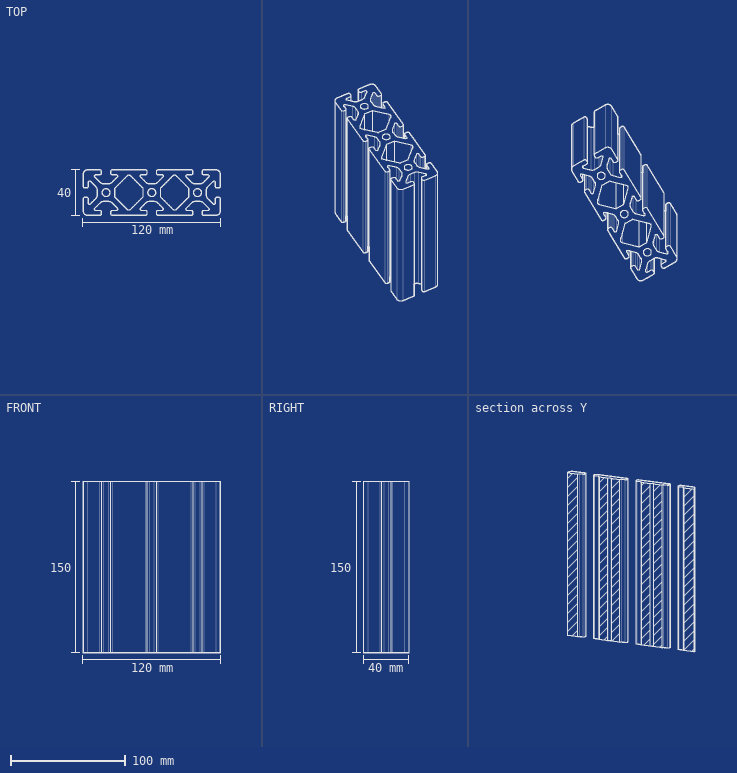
import cadquery as cq

cell_count = 3
length = 150.0
width = 120.0
cell = width / cell_count
half_cell = cell / 2
row_end = (width - cell) / 2
corner_radius = 3.9

lip_thickness = 4.5
core_half_width = 7.8
web_offset = 3.9

slot_half_opening = 4.0
lip_radius = 1.5
slot_floor_radius = 4.2
slot_corner_radius = 1.0

bore_diameter = 6.8
chamber_apex_radius = 2.1

cell_centres = [i * cell - row_end for i in range(cell_count)]
chamber_centres = [x + half_cell for x in cell_centres[:-1]]


def fillet_upright_edges(solid, points, radius):
    """Round the edges along Z that stand on the given XY points."""
    edges = []
    for x, y in points:
        nearest = cq.selectors.NearestToPointSelector((x, y, length / 2))
        edges.append(solid.edges("|Z").edges(nearest).val())
    return solid.newObject(edges).fillet(radius)


def prism(points):
    """Full-length prism with a polygonal section."""
    return cq.Workplane("XY").polyline(points).close().extrude(length)


def slot_cutter():
    """T-slot with 45 degree flanks that opens toward +Y from a cell centred on the origin."""
    lip_y = half_cell - lip_thickness
    tip_x = lip_y - web_offset
    floor_x = core_half_width - web_offset
    tips = [(-tip_x, lip_y), (tip_x, lip_y)]
    floor_corners = [(floor_x, core_half_width), (-floor_x, core_half_width)]
    pocket = prism(tips + floor_corners)
    pocket = fillet_upright_edges(pocket, tips, slot_corner_radius)
    pocket = fillet_upright_edges(pocket, floor_corners, slot_floor_radius)
    opening = (
        cq.Workplane("XY")
        .center(0, half_cell - lip_thickness / 2)
        .rect(2 * slot_half_opening, lip_thickness)
        .extrude(length)
    )
    return pocket.union(opening)


def chamber_cutter():
    """Hexagonal chamber centred on the origin, with rounded apexes toward +Y and -Y."""
    wall_x = half_cell - core_half_width
    apex_y = half_cell - web_offset
    wall_y = apex_y - wall_x
    apexes = [(0, apex_y), (0, -apex_y)]
    chamber = prism([
        apexes[0], (wall_x, wall_y), (wall_x, -wall_y),
        apexes[1], (-wall_x, -wall_y), (-wall_x, wall_y),
    ])
    return fillet_upright_edges(chamber, apexes, chamber_apex_radius)


result = (
    cq.Workplane("XY")
    .rect(width, cell)
    .extrude(length)
    .edges("|Z")
    .fillet(corner_radius)
)

slot = slot_cutter()
for x in cell_centres:
    upper_slot = slot.translate((x, 0, 0))
    result = result.cut(upper_slot).cut(upper_slot.mirror("XZ"))
end_slot = slot.rotate((0, 0, 0), (0, 0, 1), -90).translate((row_end, 0, 0))
result = result.cut(end_slot).cut(end_slot.mirror("YZ"))

lip_corners = []
for inset in (0, lip_thickness):
    for side in (-1, 1):
        for edge in (-slot_half_opening, slot_half_opening):
            lip_corners += [(x + edge, side * (half_cell - inset)) for x in cell_centres]
            lip_corners.append((side * (width / 2 - inset), edge))
result = fillet_upright_edges(result, lip_corners, lip_radius)

chamber = chamber_cutter()
for x in chamber_centres:
    result = result.cut(chamber.translate((x, 0, 0)))
bores = (
    cq.Workplane("XY")
    .pushPoints([(x, 0) for x in cell_centres])
    .circle(bore_diameter / 2)
    .extrude(length)
)
result = result.cut(bores)